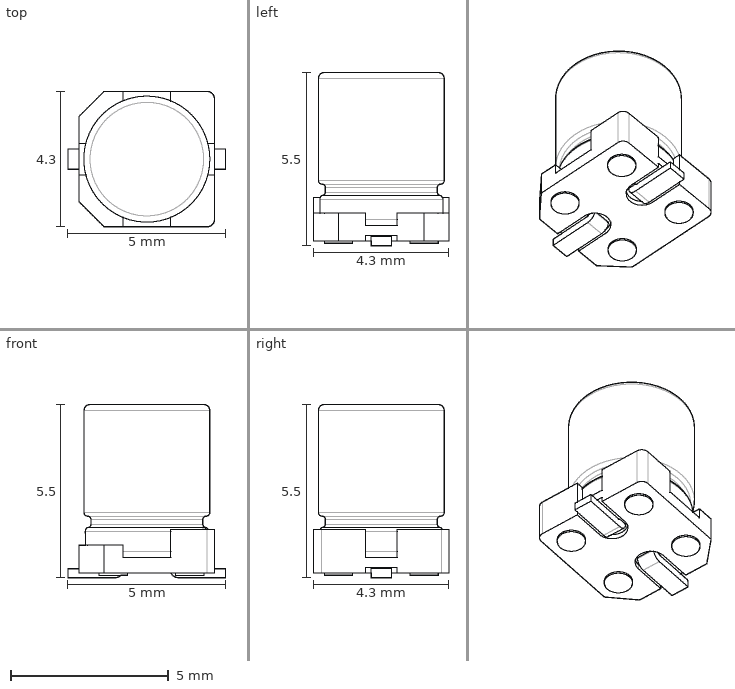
import cadquery as cq
import math


TOTAL_HEIGHT = 5.5
LEAD_SPAN = 5.0

BASE_SIDE = 4.3
BASE_BOTTOM = 0.15
FLOOR_TOP = 0.645
LOW_WALL_TOP = 1.04
HIGH_WALL_TOP = 1.54
BASE_CHAMFER = 0.8
BASE_CORNER_RADIUS = 0.25
WIDE_NOTCH = 1.505
NARROW_NOTCH = 1.0

CAN_RADIUS = 4.0 / 2
NECK_RADIUS = 3.56 / 2
SEAT_RADIUS = 1.95
CAN_EDGE_RADIUS = 0.2
LIP_RADIUS = 0.12
NECK_FILLET = CAN_RADIUS - NECK_RADIUS - LIP_RADIUS
LIP_TOP = 2.075
NECK_BOTTOM = 1.7
SEAT_TOP = 1.47

LEAD_WIDTH = 0.65
LEAD_THICKNESS = 0.29
LEAD_BEND_RADIUS = LEAD_THICKNESS
LEAD_INNER_BEND = 0.055
LEAD_INNER_X = 0.725
LEAD_TOP = 0.44
LEAD_SLOT_TOP = 0.33
LEAD_SLOT_WIDTH = NARROW_NOTCH
LEAD_SLOT_CENTER = 1.0

FOOT_DIAMETER = 0.9
FOOT_BOTTOM = 0.08
FOOT_X = (-1.06, 1.36)
FOOT_Y = 1.36


def box_between(x_range, y_range, z_range):
    size = [high - low for low, high in (x_range, y_range, z_range)]
    corner = (x_range[0], y_range[0], z_range[0])
    return cq.Workplane("XY").box(*size, centered=False).translate(corner)


def arc_point(center, radius, degrees):
    angle = math.radians(degrees)
    return (center[0] + radius * math.cos(angle), center[1] + radius * math.sin(angle))


def make_base():
    half = BASE_SIDE / 2
    half_wide = WIDE_NOTCH / 2
    half_narrow = NARROW_NOTCH / 2
    base = (
        cq.Workplane("XY", origin=(0, 0, BASE_BOTTOM))
        .rect(BASE_SIDE, BASE_SIDE)
        .extrude(HIGH_WALL_TOP - BASE_BOTTOM)
        .edges("|Z and <X").chamfer(BASE_CHAMFER)
        .edges("|Z and >X").fillet(BASE_CORNER_RADIUS)
    )
    base = base.cut(box_between((-half, 0), (-half, half), (LOW_WALL_TOP, HIGH_WALL_TOP)))
    base = base.cut(box_between((-half_wide, half_wide), (-half, half), (FLOOR_TOP, HIGH_WALL_TOP)))
    base = base.cut(box_between((-half, half), (-half_narrow, half_narrow), (FLOOR_TOP, HIGH_WALL_TOP)))
    pocket_depth = HIGH_WALL_TOP - FLOOR_TOP
    pocket = cq.Workplane("XY", origin=(0, 0, FLOOR_TOP)).circle(SEAT_RADIUS).extrude(pocket_depth)
    return base.cut(pocket)


def make_can():
    lip_bottom = LIP_TOP - LIP_RADIUS
    neck_top = lip_bottom - NECK_FILLET
    groove_radius = NECK_RADIUS + NECK_FILLET
    shoulder_top = NECK_BOTTOM - NECK_FILLET
    top_center = (CAN_RADIUS - CAN_EDGE_RADIUS, TOTAL_HEIGHT - CAN_EDGE_RADIUS)
    lip_center = (CAN_RADIUS - LIP_RADIUS, LIP_TOP)
    upper_groove_center = (groove_radius, neck_top)
    lower_groove_center = (groove_radius, NECK_BOTTOM)
    bottom_center = (SEAT_RADIUS - CAN_EDGE_RADIUS, FLOOR_TOP + CAN_EDGE_RADIUS)
    profile = (
        cq.Workplane("XZ")
        .moveTo(0, FLOOR_TOP)
        .lineTo(bottom_center[0], FLOOR_TOP)
        .threePointArc(arc_point(bottom_center, CAN_EDGE_RADIUS, -45), (SEAT_RADIUS, bottom_center[1]))
        .lineTo(SEAT_RADIUS, SEAT_TOP)
        .tangentArcPoint((groove_radius, shoulder_top), relative=False)
        .threePointArc(arc_point(lower_groove_center, NECK_FILLET, 225), (NECK_RADIUS, NECK_BOTTOM))
        .lineTo(NECK_RADIUS, neck_top)
        .threePointArc(arc_point(upper_groove_center, NECK_FILLET, 135), (groove_radius, lip_bottom))
        .threePointArc(arc_point(lip_center, LIP_RADIUS, -45), (CAN_RADIUS, LIP_TOP))
        .lineTo(CAN_RADIUS, top_center[1])
        .threePointArc(arc_point(top_center, CAN_EDGE_RADIUS, 45), (top_center[0], TOTAL_HEIGHT))
        .lineTo(0, TOTAL_HEIGHT)
        .close()
    )
    return profile.revolve(360, (0, 0, 0), (0, 1, 0))


def make_lead_slot():
    return (
        cq.Workplane("XY", origin=(LEAD_SLOT_CENTER, 0, BASE_BOTTOM))
        .slot2D(BASE_SIDE, LEAD_SLOT_WIDTH)
        .extrude(LEAD_SLOT_TOP - BASE_BOTTOM)
        .translate(((BASE_SIDE - LEAD_SLOT_WIDTH) / 2, 0, 0))
    )


def make_lead():
    upright_outer_x = LEAD_INNER_X + LEAD_THICKNESS
    outer_center = (LEAD_INNER_X + LEAD_BEND_RADIUS, LEAD_BEND_RADIUS)
    inner_center = (upright_outer_x + LEAD_INNER_BEND, LEAD_THICKNESS + LEAD_INNER_BEND)
    return (
        cq.Workplane("XZ")
        .moveTo(LEAD_SPAN / 2, 0)
        .lineTo(LEAD_SPAN / 2, LEAD_THICKNESS)
        .lineTo(inner_center[0], LEAD_THICKNESS)
        .threePointArc(arc_point(inner_center, LEAD_INNER_BEND, 225), (upright_outer_x, inner_center[1]))
        .lineTo(upright_outer_x, LEAD_TOP)
        .lineTo(LEAD_INNER_X, LEAD_TOP)
        .lineTo(LEAD_INNER_X, outer_center[1])
        .threePointArc(arc_point(outer_center, LEAD_BEND_RADIUS, 225), (outer_center[0], 0))
        .close()
        .extrude(LEAD_WIDTH / 2, both=True)
    )


def make_feet():
    centers = [(x, y) for x in FOOT_X for y in (-FOOT_Y, FOOT_Y)]
    return (
        cq.Workplane("XY", origin=(0, 0, FOOT_BOTTOM))
        .pushPoints(centers)
        .circle(FOOT_DIAMETER / 2)
        .extrude(BASE_BOTTOM - FOOT_BOTTOM)
    )


result = make_base()
for turn in (0, 180):
    result = result.cut(make_lead_slot().rotate((0, 0, 0), (0, 0, 1), turn))
    result = result.union(make_lead().rotate((0, 0, 0), (0, 0, 1), turn))
result = result.union(make_feet())
result = result.union(make_can())